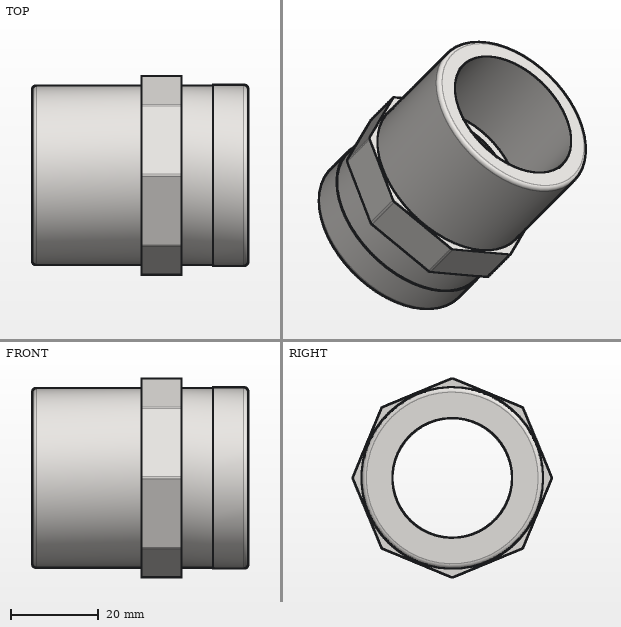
import cadquery as cq

length = 49.3
barrel_diameter = 41.0
end_ring_diameter = 41.4
end_ring_length = 8.05
left_rounding = 1.0
right_rounding = 1.15

collar_start = 24.9
collar_width = 9.15
collar_sides = 8
collar_corner_diameter = 45.5
collar_corner_rounding = 0.75

bore_diameter = 27.2
socket_diameter = 32.0
socket_depth = 22.0


def cylinder(start, span, diameter):
    """Solid cylinder on the X axis, from start towards +X."""
    return cq.Workplane("YZ", origin=(start, 0, 0)).circle(diameter / 2).extrude(span)


def wrench_collar():
    """Octagonal prism with corners on the Y and Z axes and softened edges."""
    prism = (
        cq.Workplane("YZ", origin=(collar_start, 0, 0))
        .polygon(collar_sides, collar_corner_diameter)
        .extrude(collar_width)
    )
    return prism.edges("|X").fillet(collar_corner_rounding)


barrel = cylinder(0, length - end_ring_length, barrel_diameter).faces("<X").edges().fillet(left_rounding)
end_ring = cylinder(length - end_ring_length, end_ring_length, end_ring_diameter)
end_ring = end_ring.faces(">X").edges().fillet(right_rounding)

bore = cylinder(0, length, bore_diameter)
socket = cylinder(0, socket_depth, socket_diameter)

result = barrel.union(end_ring).union(wrench_collar()).cut(bore).cut(socket)